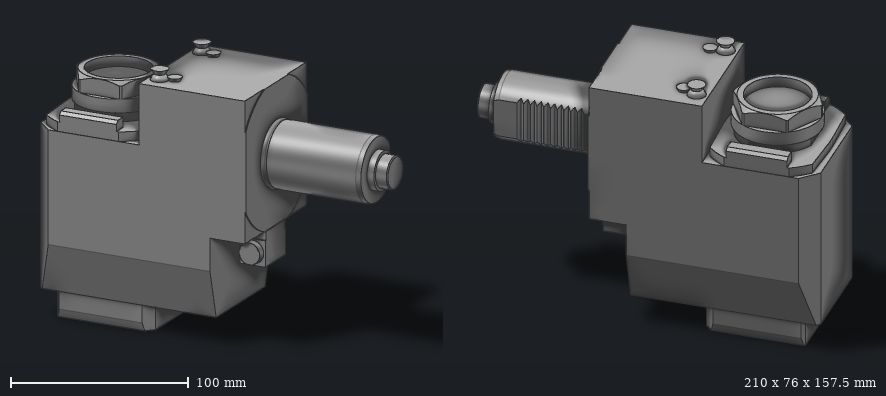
import cadquery as cq
import math

half_width = 38.0
foot_height = 16.4
ledge_z = 114.5
top_z = 151.0
wall_x = 67.2
lower_end_x = 112.1
shoulder_z = 66.0
face_x = 134.8
face_relief = 0.6
face_disc_radius = 45.0
front_chamfer = 9.9
taper_start_z = 46.2
taper_half_width = 30.2

foot_start_x = 9.7
foot_end_x = 69.7
foot_half_width = half_width - front_chamfer
foot_front_chamfer = 2.0
foot_back_chamfer = 5.7
foot_taper_height = 5.0
foot_taper_inset = 1.3

spindle_x = 34.9
plate_thickness = 5.7
plate_top_z = ledge_z + plate_thickness
plate_half_width = 37.8
plate_half_length = 31.7
plate_end_half_length = 30.0
plate_flat_half = 2.3
plate_corner_radius = 42.5
key_length = 36.1
key_width = 8.0
key_height = 6.0
key_chamfer = 1.9

shank_z = 108.5
seat_ring_radius = 20.5
seat_ring_length = 2.7
groove_length = 1.0
shank_radius = 20.0
shank_end_x = 198.0
shank_chamfer_length = 3.0
shank_chamfer_depth = 0.6
boss_radius = 11.8
boss_end_x = 202.5
tip_radius = 9.9
tip_end_x = 210.0
tip_chamfer = 0.6
tooth_flat_x = 141.5
tooth_flat_y = 16.2
tooth_count = 10
tooth_first_x = 146.4
tooth_pitch = 4.0
tooth_depth = 1.9

stud_x = 74.3
stud_y = 26.0
stud_base_radius = 5.5
stud_waist_radius = 3.0
stud_head_radius = 5.2
stud_dome_height = 3.4
stud_height = 157.5 - top_z

plug_x = 82.7
plug_y = 23.7
plug_base_radius = 3.2
plug_head_radius = 4.2
plug_height = 2.0

coolant_start_x = 118.2
coolant_end_x = face_x - face_relief
coolant_bottom_z = 44.3
coolant_step_z = 60.0
coolant_half_width = 12.5
coolant_neck_half_width = 11.5
nozzle_z = 52.3
nozzle_base_radius = 7.0
nozzle_waist_radius = 4.6
nozzle_head_radius = 6.5
nozzle_dome_height = 2.0
nozzle_height = 4.2

neck_radius = 24.8
neck_flat_distance = 22.9
collar_bottom_z = 125.8
collar_radius = 26.2
nut_bottom_z = 134.0
nut_top_z = 144.0
nut_across_flats = 46.2
nut_chamfer_radius = 22.9
nut_chamfer_height = 2.3
recess_radius = 19.3
recess_depth = 6.3


def box(x_range, y_range, z_range):
    """Box between the given limits."""
    size = [high - low for low, high in (x_range, y_range, z_range)]
    return cq.Workplane("XY").box(*size, centered=False).translate((x_range[0], y_range[0], z_range[0]))


def rod(start_x, end_x, radius):
    """Cylinder along X on the shank axis."""
    return cq.Workplane("YZ", origin=(start_x, 0, shank_z)).circle(radius).extrude(end_x - start_x)


def disc(center_x, bottom_z, end_z, radius):
    """Upright cylinder on the X-Z centre plane."""
    return cq.Workplane("XY", origin=(center_x, 0, bottom_z)).circle(radius).extrude(end_z - bottom_z)


def make_block():
    """Stepped block with chamfered front corners, tapered lower sides and a raised disc on its end face."""
    relieved_x = face_x - face_relief
    side_outline = [
        (0, foot_height),
        (lower_end_x, foot_height),
        (lower_end_x, shoulder_z),
        (face_x, shoulder_z),
        (face_x, top_z),
        (wall_x, top_z),
        (wall_x, ledge_z),
        (0, ledge_z),
    ]
    block = cq.Workplane("XZ").polyline(side_outline).close().extrude(half_width, both=True)
    plan_outline = [
        (0, -half_width + front_chamfer),
        (front_chamfer, -half_width),
        (face_x, -half_width),
        (face_x, half_width),
        (front_chamfer, half_width),
        (0, half_width - front_chamfer),
    ]
    block = block.intersect(cq.Workplane("XY").polyline(plan_outline).close().extrude(top_z))
    end_outline = [
        (-taper_half_width, foot_height),
        (taper_half_width, foot_height),
        (half_width, taper_start_z),
        (half_width, top_z),
        (-half_width, top_z),
        (-half_width, taper_start_z),
    ]
    block = block.intersect(cq.Workplane("YZ").polyline(end_outline).close().extrude(face_x))
    corner_relief = box((relieved_x, face_x), (-half_width, half_width), (shoulder_z, top_z))
    return block.cut(corner_relief.cut(rod(relieved_x, face_x, face_disc_radius)))


def make_foot():
    """Foot with chamfered upright corners and sides drawn in near the bottom."""
    foot = box((foot_start_x, foot_end_x), (-foot_half_width, foot_half_width), (0, foot_height))
    foot = foot.edges("|Z and <X").chamfer(foot_front_chamfer)
    foot = foot.edges("|Z and >X").chamfer(foot_back_chamfer)
    bottom_half_width = foot_half_width - foot_taper_inset
    end_outline = [
        (-bottom_half_width, 0),
        (bottom_half_width, 0),
        (foot_half_width, foot_taper_height),
        (foot_half_width, foot_height),
        (-foot_half_width, foot_height),
        (-foot_half_width, foot_taper_height),
    ]
    return foot.intersect(cq.Workplane("YZ").polyline(end_outline).close().extrude(foot_end_x))


def make_plate():
    """Cover plate with slightly peaked ends and round corners, plus a chamfered key on each long side."""
    outline = [
        (-plate_half_length, -plate_flat_half),
        (-plate_end_half_length, -plate_half_width),
        (plate_end_half_length, -plate_half_width),
        (plate_half_length, -plate_flat_half),
        (plate_half_length, plate_flat_half),
        (plate_end_half_length, plate_half_width),
        (-plate_end_half_length, plate_half_width),
        (-plate_half_length, plate_flat_half),
    ]
    base = cq.Workplane("XY", origin=(spindle_x, 0, ledge_z))
    plate = base.polyline(outline).close().extrude(plate_thickness)
    plate = plate.intersect(disc(spindle_x, ledge_z, plate_top_z, plate_corner_radius))
    key = box(
        (spindle_x - key_length / 2, spindle_x + key_length / 2),
        (-plate_half_width, -plate_half_width + key_width),
        (plate_top_z, plate_top_z + key_height),
    )
    key = key.edges(">Z and <Y").chamfer(key_chamfer)
    return plate.union(key).union(key.mirror("XZ"))


def make_shank():
    """Shank with rounded seat ring, rounded groove, stepped end and a row of teeth cut into its +Y side."""
    groove_x = face_x + seat_ring_length
    shank_x = groove_x + groove_length
    profile = (
        cq.Workplane("XY")
        .moveTo(face_x, 0)
        .lineTo(face_x, shank_radius)
        .threePointArc((face_x + seat_ring_length / 2, seat_ring_radius), (groove_x, shank_radius))
        .tangentArcPoint((shank_x, shank_radius), relative=False)
        .lineTo(shank_end_x - shank_chamfer_length, shank_radius)
        .lineTo(shank_end_x, shank_radius - shank_chamfer_depth)
        .lineTo(shank_end_x, boss_radius)
        .lineTo(boss_end_x, boss_radius)
        .lineTo(boss_end_x, tip_radius)
        .lineTo(tip_end_x - tip_chamfer, tip_radius)
        .lineTo(tip_end_x, tip_radius - tip_chamfer)
        .lineTo(tip_end_x, 0)
        .close()
    )
    shank = profile.revolve(360, (0, 0, 0), (1, 0, 0))
    shank = shank.translate((0, 0, shank_z))
    z_range = (shank_z - shank_radius, shank_z + shank_radius)
    shank = shank.cut(box((tooth_flat_x, shank_end_x), (tooth_flat_y, shank_radius), z_range))
    for index in range(tooth_count):
        center_x = tooth_first_x + index * tooth_pitch
        notch_outline = [
            (center_x - tooth_depth, tooth_flat_y),
            (center_x, tooth_flat_y - tooth_depth),
            (center_x + tooth_depth, tooth_flat_y),
        ]
        notch = cq.Workplane("XY", origin=(0, 0, shank_z)).polyline(notch_outline).close()
        shank = shank.cut(notch.extrude(shank_radius, both=True))
    return shank


def make_flared_knob(base_radius, waist_radius, head_radius, dome_height, height):
    """Spherical dome that narrows to a waist and flares out to a flat head, rising along Z."""
    center = (dome_height**2 + waist_radius**2 - base_radius**2) / (2 * dome_height)
    sphere_radius = math.hypot(base_radius, center)
    mid_height = dome_height / 2
    mid_radius = math.sqrt(sphere_radius**2 - (mid_height - center) ** 2)
    profile = (
        cq.Workplane("XZ")
        .lineTo(base_radius, 0)
        .threePointArc((mid_radius, mid_height), (waist_radius, dome_height))
        .lineTo(head_radius, height)
        .lineTo(0, height)
        .close()
    )
    return profile.revolve(360, (0, 0, 0), (0, 1, 0))


def make_studs():
    """Two flared studs, each with a low conical plug beside it, mirrored across the centre plane."""
    stud = make_flared_knob(
        stud_base_radius, stud_waist_radius, stud_head_radius, stud_dome_height, stud_height
    )
    plug_profile = [(0, 0), (plug_base_radius, 0), (plug_head_radius, plug_height), (0, plug_height)]
    plug = cq.Workplane("XZ").polyline(plug_profile).close().revolve(360, (0, 0, 0), (0, 1, 0))
    pair = stud.translate((stud_x, stud_y, top_z)).union(plug.translate((plug_x, plug_y, top_z)))
    return pair.union(pair.mirror("XZ"))


def make_coolant_block():
    """Hanging block with a narrower neck and a flared nozzle facing -Y."""
    x_range = (coolant_start_x, coolant_end_x)
    neck = box(x_range, (-coolant_neck_half_width, coolant_neck_half_width), (coolant_step_z, shoulder_z))
    body = box(x_range, (-coolant_half_width, coolant_half_width), (coolant_bottom_z, coolant_step_z))
    nozzle = make_flared_knob(
        nozzle_base_radius, nozzle_waist_radius, nozzle_head_radius, nozzle_dome_height, nozzle_height
    )
    nozzle = nozzle.rotate((0, 0, 0), (1, 0, 0), 90)
    nozzle_x = (coolant_start_x + coolant_end_x) / 2
    return neck.union(body).union(nozzle.translate((nozzle_x, -coolant_half_width, nozzle_z)))


def make_housing():
    """Housing: block, foot, cover plate, shank, studs and coolant block in one solid."""
    housing = make_block()
    for feature in (make_foot(), make_plate(), make_shank(), make_studs(), make_coolant_block()):
        housing = housing.union(feature)
    return housing


def make_spindle():
    """Spindle nose standing on the cover plate: flatted neck, round collar and recessed hexagon nut."""
    flat_range = (-neck_flat_distance, neck_flat_distance)
    flat_x_range = (spindle_x - neck_flat_distance, spindle_x + neck_flat_distance)
    neck = disc(spindle_x, plate_top_z, collar_bottom_z, neck_radius)
    neck = neck.intersect(box(flat_x_range, flat_range, (plate_top_z, collar_bottom_z)))
    collar = disc(spindle_x, collar_bottom_z, nut_bottom_z, collar_radius)

    corner_diameter = nut_across_flats / math.cos(math.radians(30))
    nut = cq.Workplane("XY", origin=(spindle_x, 0, nut_bottom_z)).polygon(6, corner_diameter)
    nut = nut.extrude(nut_top_z - nut_bottom_z)
    turned_profile = [
        (0, nut_bottom_z),
        (collar_radius, nut_bottom_z),
        (collar_radius, nut_top_z - nut_chamfer_height),
        (nut_chamfer_radius, nut_top_z),
        (0, nut_top_z),
    ]
    turned = cq.Workplane("XZ").polyline(turned_profile).close().revolve(360, (0, 0, 0), (0, 1, 0))
    nut = nut.intersect(turned.translate((spindle_x, 0, 0)))
    nut = nut.cut(disc(spindle_x, nut_top_z - recess_depth, nut_top_z, recess_radius))
    return neck.union(collar).union(nut)


housing = make_housing()
spindle = make_spindle()

result = cq.Compound.makeCompound([housing.solids().val(), spindle.solids().val()])